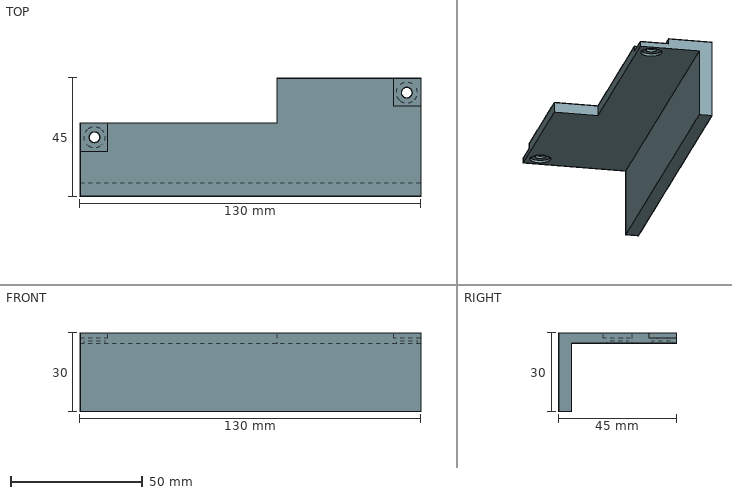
import cadquery as cq

length = 130.0
depth = 45.0
height = 30.0

plate_thickness = 4.0
wall_thickness = 5.0

narrow_length = 75.0
narrow_depth = 28.0

seat_width = 10.5
left_seat_length = 11.0
right_seat_length = 10.5
seat_depth = 2.0

hole_diameter = 4.0
hole_inset = 5.5
hole_lip = 1.0
relief_diameter = 8.0


def make_plate():
    """L-shaped top plate: narrow on the left, full depth on the right."""
    outline = [
        (0, 0),
        (length, 0),
        (length, depth),
        (narrow_length, depth),
        (narrow_length, narrow_depth),
        (0, narrow_depth),
    ]
    plate = cq.Workplane("XY").polyline(outline).close().extrude(plate_thickness)
    return plate.translate((0, 0, height - plate_thickness))


def make_wall():
    """Front wall along the whole length."""
    return cq.Workplane("XY").box(length, wall_thickness, height, centered=False)


def make_seat_cutter(corner_x, corner_y, inward_x, seat_length):
    """Recess at a rear corner with a hole relieved from below; inward_x is the sign of X into the plate."""
    seat_center = (corner_x + inward_x * seat_width / 2, corner_y - seat_length / 2)
    hole_center = (corner_x + inward_x * hole_inset, corner_y - hole_inset)
    seat_floor = cq.Workplane("XY", origin=(*seat_center, height - seat_depth))
    plate_bottom = cq.Workplane("XY", origin=(*hole_center, height - plate_thickness))

    recess = seat_floor.rect(seat_width, seat_length).extrude(seat_depth)
    hole = plate_bottom.circle(hole_diameter / 2).extrude(plate_thickness)
    relief_depth = plate_thickness - seat_depth - hole_lip
    relief = plate_bottom.circle(relief_diameter / 2).extrude(relief_depth)
    return recess.union(hole).union(relief)


result = make_plate().union(make_wall())
result = result.cut(make_seat_cutter(0, narrow_depth, 1, left_seat_length))
result = result.cut(make_seat_cutter(length, depth, -1, right_seat_length))